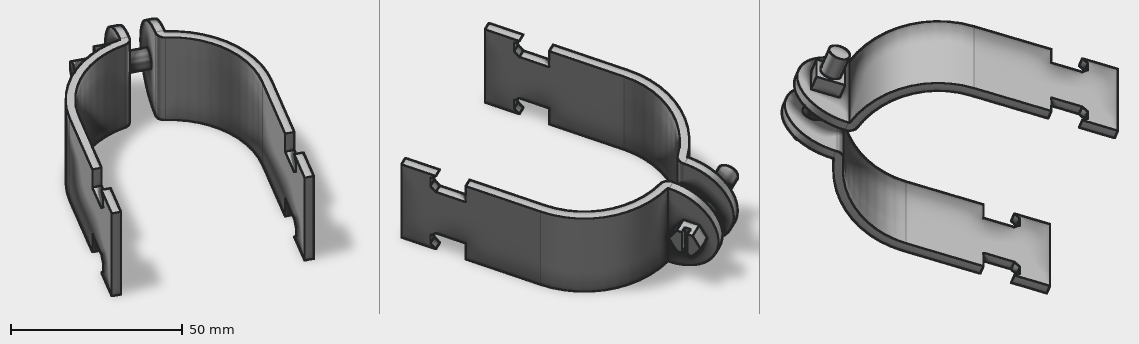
import cadquery as cq
import math

length = 90.9
span = 61.3
width = 31.7
thickness = 2.8
flange_gap = 7.9

outer_radius = span / 2
inner_radius = outer_radius - thickness
flange_inner = flange_gap / 2
flange_outer = flange_inner + thickness
arc_center_x = 46.2
flange_round = width / 2

notch_start = 70.25
notch_end = 81.5
notch_depth = 6.9
notch_chamfer = 1.7

bolt_x = 8.7
bolt_diameter = 6.45
bolt_tip_y = -19.0
across_flats = 8.9
head_height = 4.7
nut_height = head_height
slot_width = 1.8
slot_depth = 2.2


def xz_plane(y):
    """Sketch plane at height y, facing +Y, with local x along -X and local y along Z."""
    return cq.Workplane(cq.Plane(origin=(bolt_x, y, 0), xDir=(-1, 0, 0), normal=(0, 1, 0)))


def make_strip():
    """Bent strip on the +Y side: flange, sharp bend, quarter bow and straight arm."""
    bow_angle = math.asin(flange_outer / outer_radius)
    bend_x = arc_center_x - outer_radius * math.cos(bow_angle)
    mid_bow = (math.pi / 2 + bow_angle) / 2
    mid_bend = (math.pi / 2 + bow_angle) / 2

    def on_bow(radius, angle):
        return (arc_center_x - radius * math.cos(angle), radius * math.sin(angle))

    bend_mid = (
        bend_x + thickness * math.cos(mid_bend),
        flange_outer - thickness * math.sin(mid_bend),
    )
    return (
        cq.Workplane("XY")
        .workplane(offset=-width / 2)
        .moveTo(0, flange_inner)
        .lineTo(bend_x, flange_inner)
        .threePointArc(bend_mid, on_bow(inner_radius, bow_angle))
        .threePointArc(on_bow(inner_radius, mid_bow), (arc_center_x, inner_radius))
        .lineTo(length, inner_radius)
        .lineTo(length, outer_radius)
        .lineTo(arc_center_x, outer_radius)
        .threePointArc(on_bow(outer_radius, mid_bow), (bend_x, flange_outer))
        .lineTo(0, flange_outer)
        .close()
        .extrude(width)
    )


def make_side_outline():
    """Block with a round flange end, used to trim the strip."""
    return (
        cq.Workplane("XZ")
        .moveTo(flange_round, -width / 2)
        .lineTo(length, -width / 2)
        .lineTo(length, width / 2)
        .lineTo(flange_round, width / 2)
        .threePointArc((0, 0), (flange_round, -width / 2))
        .close()
        .extrude(-span)
    )


def make_notch(side):
    """Notch cutter for the top (side = 1) or bottom (side = -1) edge of an arm."""
    edge = width / 2
    floor = edge - notch_depth
    points = [
        (notch_start, edge),
        (notch_start, floor),
        (notch_end - notch_chamfer, floor),
        (notch_end, floor + notch_chamfer),
        (notch_end, edge - notch_chamfer),
        (notch_end - notch_chamfer, edge),
    ]
    return cq.Workplane("XZ").polyline([(x, side * z) for x, z in points]).close().extrude(-span)


def make_clamp_half():
    """Clamp half on the +Y side, with its bolt hole."""
    half = make_strip().intersect(make_side_outline())
    for side in (-1, 1):
        half = half.cut(make_notch(side))
    bolt_hole = xz_plane(flange_inner).circle(bolt_diameter / 2).extrude(thickness)
    return half.cut(bolt_hole)


def make_bolt():
    """Hexagon bolt with a screwdriver slot along Z across its head."""
    across_corners = across_flats / math.cos(math.pi / 6)
    head = xz_plane(flange_outer).polygon(6, across_corners).extrude(head_height)
    slot = (
        xz_plane(flange_outer + head_height - slot_depth)
        .rect(slot_width, across_corners)
        .extrude(slot_depth)
    )
    shank = xz_plane(bolt_tip_y).circle(bolt_diameter / 2).extrude(flange_outer - bolt_tip_y)
    return head.cut(slot).union(shank)


def make_nut():
    """Square nut seated on the outer face of the -Y flange."""
    return (
        xz_plane(-flange_outer - nut_height)
        .rect(across_flats, across_flats)
        .circle(bolt_diameter / 2)
        .extrude(nut_height)
    )


clamp_half = make_clamp_half()
clamp_halves = [clamp_half, clamp_half.mirror("XZ")]
bolt = make_bolt()
nut = make_nut()

result = cq.Compound.makeCompound([*[half.val() for half in clamp_halves], bolt.val(), nut.val()])